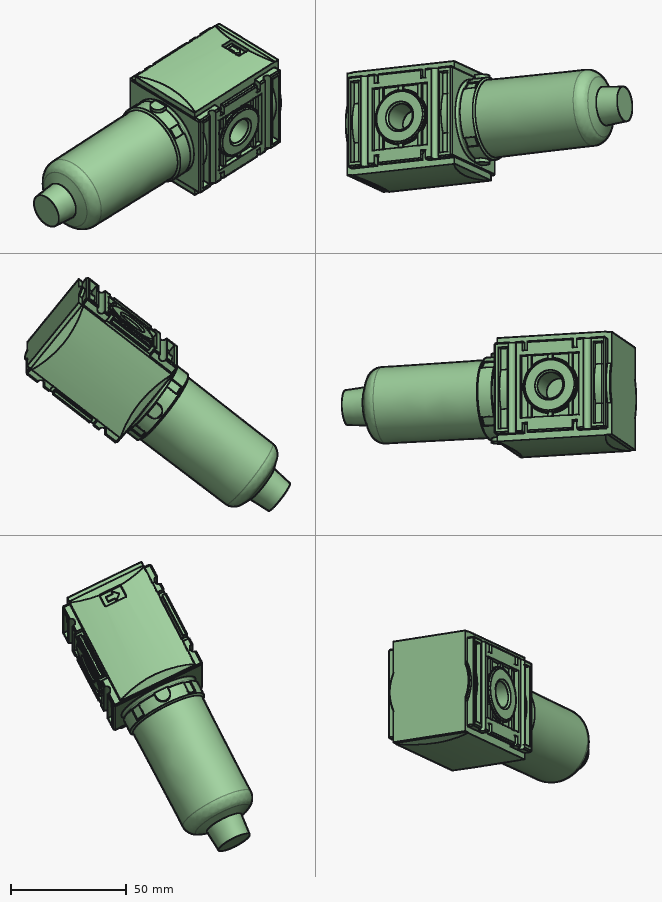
import cadquery as cq
import math


core_half_width = 18.0
core_half_height = 22.9
crown_half_height = 48.1 / 2
front_y = -24.8
back_y = 27.0
overall_length = 125.0
end_slope_length = 4.0
end_slope_z = 22.6

cap_radius = 20.0
cap_chamfer = 0.4

panel_half_width = 21.5
panel_half_height = 40.1 / 2
panel_half_length = 25.1
panel_chamfer = 0.6
panel_depth = panel_half_width - core_half_width

groove_y = 17.0
groove_radius = 1.8
groove_center_depth = 0.4

slot_y = 11.2
slot_width = 2.1
slot_floor_z = 16.0

trench_outer_x = 19.6
trench_floor_x = 18.6
trench_slope_z = 17.5
trench_half_length = slot_y - slot_width / 2

pocket_back_y = 21.6
pocket_front_y = -21.1
pocket_width = 3.9
pocket_height = 36.0

window_height = 27.6
window_width = 26.5
window_floor_x = 19.4
ridge_y = 9.2
ridge_width = 1.6
ridge_top_x = 20.9
boss_diameter = 23.5
boss_chamfer = 0.6
boss_flange_diameter = 24.2
boss_flange_x = 20.6
rib_width = 2.0
rib_top_x = 20.6
port_diameter = 11.5
port_depth = 15.0
port_chamfer = 0.9

mark_y = 18.6
mark_length = 10.2
mark_width = 6.0
mark_corner_radius = 0.4
mark_floor_z = 21.9
arrow_height = 1.0
arrow_tail_x = -2.9
arrow_neck_x = 0.4
arrow_tip_x = 3.0
arrow_half_shaft = 1.1
arrow_half_head = 2.4

bowl_seat_y = -panel_half_length
neck_radius = 17.0
flare_fillet = 1.0
collar_radius = 18.0
collar_back_y = -27.4
collar_front_y = -33.5
bowl_top_radius = 17.0
bowl_top_y = -34.2
bowl_bottom_radius = 16.6
bowl_bottom_y = -85.0
bowl_bottom_fillet = 5.8
nose_base_radius = 8.5
nose_base_y = -88.4
nose_tip_radius = 7.6
nose_tip_y = back_y - overall_length

button_radius = 3.2
button_y = -29.2
button_top_z = 19.5
notch_width = 4.8
notch_front_y = -32.8
notch_floor_radius = 17.2


def box(x_range, y_range, z_range):
    """Axis-aligned block between the given limits."""
    size = [high - low for low, high in (x_range, y_range, z_range)]
    corner = (x_range[0], y_range[0], z_range[0])
    return cq.Workplane("XY").box(*size, centered=False).translate(corner)


def both_sides(shape):
    """A shape on the +X side together with its mirror image on the -X side."""
    return shape.union(shape.mirror("YZ"))


def cover_core():
    """Block with a domed top and bottom whose ends slope down."""
    dome = (
        cq.Workplane("XZ", origin=(0, back_y, 0))
        .moveTo(-core_half_width, -core_half_height)
        .threePointArc((0, -crown_half_height), (core_half_width, -core_half_height))
        .lineTo(core_half_width, core_half_height)
        .threePointArc((0, crown_half_height), (-core_half_width, core_half_height))
        .close()
        .extrude(back_y - front_y)
    )
    slope_start_y = panel_half_length
    slope_end_y = slope_start_y - end_slope_length
    side_outline = (
        cq.Workplane("YZ", origin=(-core_half_width, 0, 0))
        .polyline([
            (-slope_start_y, -end_slope_z),
            (-slope_end_y, -crown_half_height),
            (slope_end_y, -crown_half_height),
            (slope_start_y, -end_slope_z),
            (back_y, -end_slope_z),
            (back_y, end_slope_z),
            (slope_start_y, end_slope_z),
            (slope_end_y, crown_half_height),
            (-slope_end_y, crown_half_height),
            (-slope_start_y, end_slope_z),
        ])
        .close()
        .extrude(2 * core_half_width)
    )
    return dome.intersect(side_outline)


def flow_mark():
    """Recess in the top cover, without the arrow that stands on its floor."""
    recess = (
        cq.Workplane("XY", origin=(0, mark_y, mark_floor_z))
        .rect(mark_length, mark_width)
        .extrude(crown_half_height - mark_floor_z)
        .edges("|Z").fillet(mark_corner_radius)
    )
    arrow = (
        cq.Workplane("XY", origin=(0, mark_y, mark_floor_z))
        .polyline([
            (arrow_tail_x, -arrow_half_shaft),
            (arrow_neck_x, -arrow_half_shaft),
            (arrow_neck_x, -arrow_half_head),
            (arrow_tip_x, 0),
            (arrow_neck_x, arrow_half_head),
            (arrow_neck_x, arrow_half_shaft),
            (arrow_tail_x, arrow_half_shaft),
        ])
        .close()
        .extrude(arrow_height)
    )
    return recess.cut(arrow)


def panel_slab():
    """Slab that forms both side panels, bevelled all around."""
    return (
        cq.Workplane("XY")
        .box(2 * panel_half_width, 2 * panel_half_length, 2 * panel_half_height)
        .edges().chamfer(panel_chamfer)
    )


def panel_pockets():
    """The two tall pockets of the +X panel, down to the core."""
    return (
        cq.Workplane("YZ", origin=(core_half_width, 0, 0))
        .pushPoints([(pocket_back_y, 0), (pocket_front_y, 0)])
        .rect(pocket_width, pocket_height)
        .extrude(panel_depth)
    )


def back_cap():
    """Round cap along the bowl axis; it also bulges into the panel pockets."""
    return (
        cq.Workplane("XZ", origin=(0, back_y, 0))
        .circle(cap_radius)
        .extrude(back_y - front_y)
        .faces(">Y").edges().chamfer(cap_chamfer)
    )


def clamp_grooves():
    """Round-bottomed vertical grooves in the +X panel."""
    center_x = panel_half_width - groove_center_depth
    bottom_z = -panel_half_height
    grooves = cq.Workplane("XY")
    for y in (-groove_y, groove_y):
        round_floor = (
            cq.Workplane("XY", origin=(center_x, y, bottom_z))
            .circle(groove_radius)
            .extrude(2 * panel_half_height)
        )
        mouth = box(
            (center_x, panel_half_width),
            (y - groove_radius, y + groove_radius),
            (bottom_z, panel_half_height),
        )
        grooves = grooves.union(round_floor).union(mouth)
    return grooves


def edge_slots_and_trenches():
    """Slots and trenches along the top and bottom edges of the +X panel."""
    cuts = (
        cq.Workplane("XZ", origin=(0, trench_half_length, 0))
        .polyline([
            (core_half_width, panel_half_height),
            (core_half_width, slot_floor_z),
            (trench_floor_x, slot_floor_z),
            (trench_outer_x, trench_slope_z),
            (trench_outer_x, panel_half_height),
        ])
        .close()
        .extrude(2 * trench_half_length)
    )
    for y in (-slot_y, slot_y):
        cuts = cuts.union(box(
            (core_half_width, panel_half_width),
            (y - slot_width / 2, y + slot_width / 2),
            (slot_floor_z, panel_half_height),
        ))
    return cuts.union(cuts.mirror("XY"))


def port_window():
    """Window of the +X panel around the port boss, its two ribs and the two ridges."""
    half_height = window_height / 2
    window = box(
        (window_floor_x, panel_half_width),
        (-window_width / 2, window_width / 2),
        (-half_height, half_height),
    )
    floor = cq.Workplane("YZ", origin=(window_floor_x, 0, 0))
    boss = (
        floor.circle(boss_diameter / 2)
        .extrude(panel_half_width - window_floor_x)
        .faces(">X").edges().chamfer(boss_chamfer)
    )
    flange = floor.circle(boss_flange_diameter / 2).extrude(boss_flange_x - window_floor_x)
    ribs = floor.rect(rib_width, window_height).extrude(rib_top_x - window_floor_x)
    ridges = (
        floor.pushPoints([(-ridge_y, 0), (ridge_y, 0)])
        .rect(ridge_width, window_height)
        .extrude(ridge_top_x - window_floor_x)
    )
    return window.cut(boss).cut(flange).cut(ribs).cut(ridges)


def port():
    """Blind port hole in the +X side, bevelled at its mouth."""
    hole = (
        cq.Workplane("YZ", origin=(panel_half_width - port_depth, 0, 0))
        .circle(port_diameter / 2)
        .extrude(port_depth)
    )
    bevel = (
        cq.Workplane("YZ", origin=(panel_half_width - port_chamfer, 0, 0))
        .circle(port_diameter / 2)
        .workplane(offset=port_chamfer)
        .circle(port_diameter / 2 + port_chamfer)
        .loft()
    )
    return hole.union(bevel)


def make_housing():
    slab = panel_slab().cut(both_sides(panel_pockets()))
    body = cover_core().union(slab).union(back_cap())
    side_cuts = [clamp_grooves(), edge_slots_and_trenches(), port_window(), port()]
    for side_cut in side_cuts:
        body = body.cut(both_sides(side_cut))
    return body.cut(flow_mark())


def bowl_shell():
    """Turned shape of neck, collar, bowl and nose around the Y axis."""
    fillet_inset = flare_fillet * (1 - math.sqrt(0.5))
    turned = (
        cq.Workplane("XY")
        .moveTo(0, bowl_seat_y)
        .lineTo(neck_radius + flare_fillet, bowl_seat_y)
        .threePointArc(
            (neck_radius + fillet_inset, bowl_seat_y - fillet_inset),
            (neck_radius, bowl_seat_y - flare_fillet),
        )
        .lineTo(neck_radius, collar_back_y)
        .lineTo(collar_radius, collar_back_y)
        .lineTo(collar_radius, collar_front_y)
        .lineTo(bowl_top_radius, bowl_top_y)
        .lineTo(bowl_bottom_radius, bowl_bottom_y)
        .lineTo(nose_base_radius, nose_base_y)
        .lineTo(nose_tip_radius, nose_tip_y)
        .lineTo(0, nose_tip_y)
        .close()
        .revolve(360, (0, 0, 0), (0, 1, 0))
    )
    margin = 0.1
    bottom_rim = cq.selectors.BoxSelector(
        (-collar_radius, bowl_bottom_y - margin, -collar_radius),
        (collar_radius, bowl_bottom_y + margin, collar_radius),
    )
    return turned.edges(bottom_rim).fillet(bowl_bottom_fillet)


def collar_buttons():
    """Round-ended stops on the top and bottom of the collar."""
    return (
        cq.Workplane("XY", origin=(0, 0, -button_top_z))
        .moveTo(-button_radius, collar_back_y)
        .lineTo(-button_radius, button_y)
        .threePointArc((0, button_y - button_radius), (button_radius, button_y))
        .lineTo(button_radius, collar_back_y)
        .close()
        .extrude(2 * button_top_z)
    )


def collar_notches():
    """Four notches in the collar, open towards the housing."""
    notch = box(
        (notch_floor_radius, collar_radius),
        (notch_front_y, collar_back_y),
        (-notch_width / 2, notch_width / 2),
    )
    notches = cq.Workplane("XY")
    for angle in (45, 135, 225, 315):
        notches = notches.union(notch.rotate((0, 0, 0), (0, 1, 0), angle))
    return notches


def make_bowl():
    return bowl_shell().union(collar_buttons()).cut(collar_notches())


housing = make_housing()
bowl = make_bowl()
result = cq.Compound.makeCompound([housing.val(), bowl.val()])